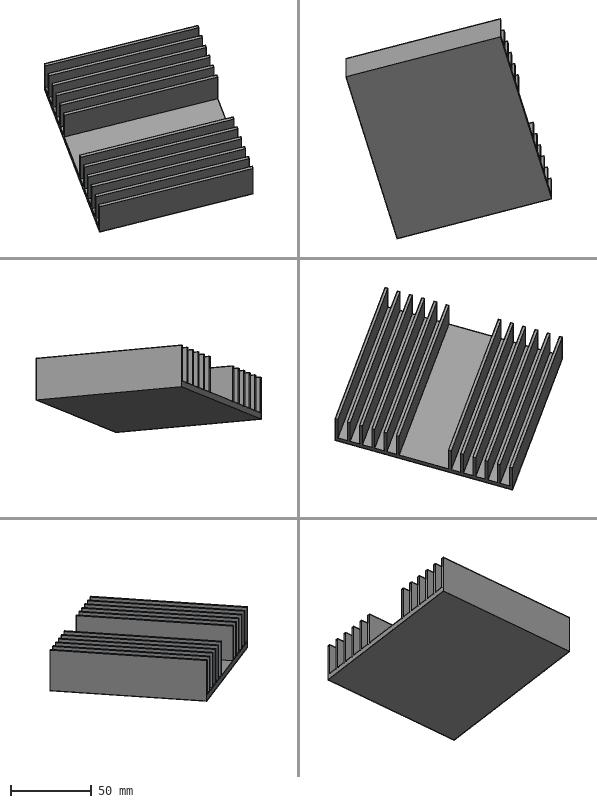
import cadquery as cq

width = 116.0
depth = 100.0
height = 26.5

base_thickness = 4.0
fin_thickness = 1.9
fin_pitch = 8.0
fins_per_side = 6


def fin(center_x):
    """Full-depth upright fin, standing from the underside of the base."""
    return (
        cq.Workplane("XY")
        .box(fin_thickness, depth, height, centered=(True, True, False))
        .translate((center_x, 0, 0))
    )


result = cq.Workplane("XY").box(width, depth, base_thickness, centered=(True, True, False))

outer_fin_x = (width - fin_thickness) / 2
for index in range(fins_per_side):
    fin_x = outer_fin_x - index * fin_pitch
    result = result.union(fin(fin_x)).union(fin(-fin_x))